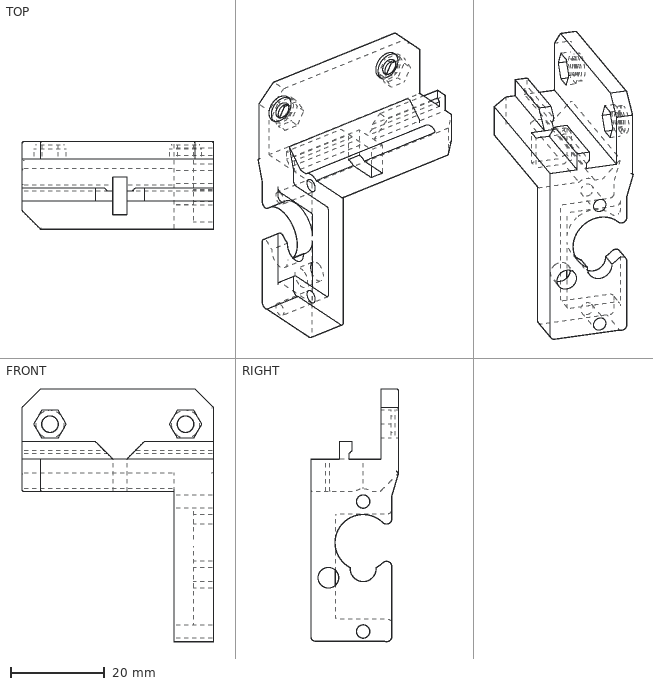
import math
import cadquery as cq

width = 41.0
depth = 18.8
shelf_thickness = 7.0
shelf_edge_radius = 0.5
shelf_bevel = 4.0
corner_cut = 4.0

plate_thickness = 3.8
plate_height = 15.0
plate_edge_radius = 0.5
mount_hole_diameter = 3.5
counterbore_diameter = 6.0
counterbore_depth = 0.8
mount_hole_spacing = 29.0
mount_hole_height = 7.45
nut_across_flats = 6.0
nut_depth = 2.2

rail_front = 6.1
rail_back = 8.85
rail_height = 3.75
rail_undercut = 0.65
rail_undercut_height = 1.15
gap_center = 20.95
gap_bottom_width = 3.0

slot_length = 8.0
slot_front = 3.15

arm_width = 8.5
arm_bottom = -39.0
arm_back = 17.35
arm_slope_bottom = -7.9
arm_front_radius = 1.0
lip_radius = 1.15
heel_drop = 0.1

pocket_depth = 4.25
pocket_front = 5.25
pocket_top = -11.75
pocket_bottom = -34.25
pocket_inner_radius = 0.5
pocket_rim_radius = 1.0

bore_radius = 6.0
bore_y = 11.2
bore_z = -17.9
relief_diameter = 5.5
relief_z = -23.45
screw_diameter = 2.8
upper_screw_z = -9.1
lower_screw_z = -36.9
side_hole_diameter = 4.4
side_hole_y = 3.75
side_hole_z = -25.4
groove_diameter = 5.5

arm_start = width - arm_width
web_start = arm_start + pocket_depth
plate_front = depth - plate_thickness
bevel_top = shelf_bevel - shelf_thickness


def box(x_range, y_range, z_range):
    """Block spanning the given (low, high) ranges."""
    sizes = [high - low for low, high in (x_range, y_range, z_range)]
    corner = (x_range[0], y_range[0], z_range[0])
    return cq.Workplane("XY").box(*sizes, centered=False).translate(corner)


def rod(y, z, diameter, x_start, x_end):
    """Cylinder along X."""
    plane = cq.Workplane("YZ", origin=(x_start, y, z))
    return plane.circle(diameter / 2).extrude(x_end - x_start)


def make_shelf():
    """Shelf with a cut front corner, rounded lower edges and a bevel along the lower back."""
    shelf = box((0, width), (0, depth), (-shelf_thickness, 0))
    shelf = shelf.edges("|Z and <X and <Y").chamfer(corner_cut)
    shelf = shelf.edges("<Z and >Y").chamfer(shelf_bevel)
    round_edges = shelf.faces("<Z").edges("not >X")
    return round_edges.fillet(shelf_edge_radius)


def make_plate():
    """Back plate with cut upper corners."""
    plate = box((0, width), (plate_front, depth), (0, plate_height))
    return plate.edges("|Y and >Z").chamfer(corner_cut)


def make_mount_holes():
    """Mounting holes through the plate, with hexagonal nut pockets in front and counterbores behind."""
    holes = cq.Workplane()
    for side in (-1, 1):
        hole_x = (width + side * mount_hole_spacing) / 2
        face = cq.Workplane("XZ", origin=(hole_x, plate_front, mount_hole_height))
        hole = face.circle(mount_hole_diameter / 2).extrude(-plate_thickness)
        back_face = cq.Workplane("XZ", origin=(hole_x, depth, mount_hole_height))
        counterbore = back_face.circle(counterbore_diameter / 2).extrude(counterbore_depth)
        nut = face.polygon(6, nut_across_flats / math.cos(math.pi / 6)).extrude(-nut_depth)
        holes = holes.add(hole.union(nut).union(counterbore))
    return holes.combine()


def make_rail():
    """Rail with an undercut back side and a 45 degree V gap."""
    neck_back = rail_back - rail_undercut
    profile = [
        (rail_front, 0),
        (neck_back, 0),
        (neck_back, rail_undercut_height),
        (rail_back, rail_undercut_height + rail_undercut),
        (rail_back, rail_height),
        (rail_front, rail_height),
    ]
    rail = cq.Workplane("YZ").polyline(profile).close().extrude(width)
    half_bottom = gap_bottom_width / 2
    half_top = half_bottom + rail_height
    gap_outline = [
        (gap_center - half_bottom, 0),
        (gap_center + half_bottom, 0),
        (gap_center + half_top, rail_height),
        (gap_center - half_top, rail_height),
    ]
    gap = cq.Workplane("XZ").polyline(gap_outline).close().extrude(-depth)
    return rail.cut(gap)


def make_arm():
    """Hanging arm whose lower back corner is a round heel standing slightly below the bottom."""
    heel_y = arm_back - lip_radius
    heel_z = arm_bottom - heel_drop + lip_radius
    heel_start = heel_y - math.sqrt(lip_radius**2 - (heel_z - arm_bottom) ** 2)
    outline = (
        cq.Workplane("YZ", origin=(arm_start, 0, 0))
        .moveTo(0, 0)
        .lineTo(0, arm_bottom + arm_front_radius)
        .radiusArc((arm_front_radius, arm_bottom), -arm_front_radius)
        .lineTo(heel_start, arm_bottom)
        .threePointArc((heel_y, heel_z - lip_radius), (arm_back, heel_z))
        .lineTo(arm_back, arm_slope_bottom)
        .lineTo(depth, bevel_top)
        .lineTo(plate_front, 0)
        .close()
    )
    return outline.extrude(arm_width)


def make_pocket():
    """Pocket open to the back, with rounded inner corners and a rounded rim at the back."""
    x_range = (arm_start, web_start)
    pocket = box(x_range, (pocket_front, arm_back), (pocket_bottom, pocket_top))
    pocket = pocket.edges("|X and <Y").fillet(pocket_inner_radius)
    rim_start = arm_back - pocket_rim_radius
    rim_z_range = (pocket_bottom - pocket_rim_radius, pocket_top + pocket_rim_radius)
    flare = box(x_range, (rim_start, arm_back), rim_z_range)
    for rim_z in rim_z_range:
        flare = flare.cut(rod(rim_start, rim_z, 2 * pocket_rim_radius, arm_start, web_start))
    return pocket.union(flare)


def make_bore():
    """Bore open to the back through a mouth whose lips are round and tangent to the bore."""
    lip_y = arm_back - lip_radius
    lip_offset = math.sqrt((bore_radius + lip_radius) ** 2 - (lip_y - bore_y) ** 2)
    z_range = (bore_z - lip_offset, bore_z + lip_offset)
    tangent_y = bore_y + (lip_y - bore_y) * bore_radius / (bore_radius + lip_radius)
    mouth = box((arm_start, width), (tangent_y, arm_back), z_range)
    for lip_z in z_range:
        mouth = mouth.cut(rod(lip_y, lip_z, 2 * lip_radius, arm_start, width))
    return rod(bore_y, bore_z, 2 * bore_radius, arm_start, width).union(mouth)


def make_arm_holes():
    """Bore with its relief, the two screw holes and the side hole reaching the pocket floor."""
    holes = make_bore()
    holes = holes.union(rod(bore_y, relief_z, relief_diameter, arm_start, width))
    for screw_z in (upper_screw_z, lower_screw_z):
        holes = holes.union(rod(bore_y, screw_z, screw_diameter, arm_start, width))
    return holes.union(rod(side_hole_y, side_hole_z, side_hole_diameter, web_start, width))


slot = box(
    (gap_center - gap_bottom_width / 2, gap_center + gap_bottom_width / 2),
    (slot_front, slot_front + slot_length),
    (-shelf_thickness, 0),
)
groove = rod(bore_y, upper_screw_z, groove_diameter, 0, arm_start)

result = make_shelf().union(make_plate()).clean()
result = result.faces(">Y").edges("not <Z").fillet(plate_edge_radius)
result = result.union(make_rail()).union(make_arm())
result = result.cut(slot).cut(groove).cut(make_mount_holes())
result = result.cut(make_pocket()).cut(make_arm_holes())